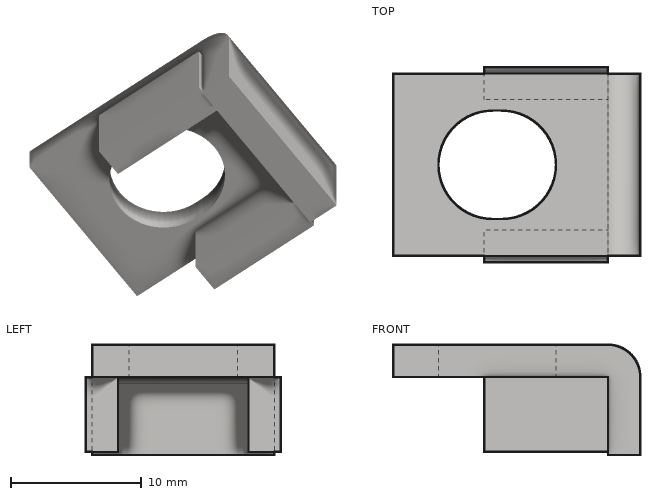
import cadquery as cq

length = 19.0
width = 14.0
height = 8.5
thickness = 2.5
outer_bend_radius = thickness
inner_bend_radius = 0.5

overall_width = 15.0
block_thickness = 2.47
block_start_x = 7.0
block_bottom_z = 0.25

hole_center_x = 8.0
hole_length = 9.0
hole_width = 8.3

lip_inner_x = length - thickness
plate_bottom_z = height - thickness


def make_bent_plate():
    """Sweep the L-shaped side profile across the width and round the bend."""
    profile = (
        cq.Workplane("XZ")
        .moveTo(0, height)
        .lineTo(length, height)
        .lineTo(length, 0)
        .lineTo(lip_inner_x, 0)
        .lineTo(lip_inner_x, plate_bottom_z)
        .lineTo(0, plate_bottom_z)
        .close()
    )
    plate = profile.extrude(width / 2, both=True)
    outer_corner = cq.selectors.NearestToPointSelector((length, 0, height))
    inner_corner = cq.selectors.NearestToPointSelector((lip_inner_x, 0, plate_bottom_z))
    plate = plate.edges("|Y").edges(outer_corner).fillet(outer_bend_radius)
    return plate.edges("|Y").edges(inner_corner).fillet(inner_bend_radius)


def make_side_block(side):
    """Block on the +Y side (side = 1) or the -Y side (side = -1)."""
    block_length = lip_inner_x - block_start_x
    block_height = plate_bottom_z - block_bottom_z
    center_y = side * (overall_width - block_thickness) / 2
    return (
        cq.Workplane("XY", origin=(block_start_x, center_y, block_bottom_z))
        .box(block_length, block_thickness, block_height, centered=(False, True, False))
    )


def make_hole():
    """Slot-shaped cutter through the plate thickness only."""
    return (
        cq.Workplane("XY", origin=(hole_center_x, 0, plate_bottom_z))
        .slot2D(hole_length, hole_width)
        .extrude(thickness)
    )


result = make_bent_plate().cut(make_hole())
for side in (-1, 1):
    result = result.union(make_side_block(side))